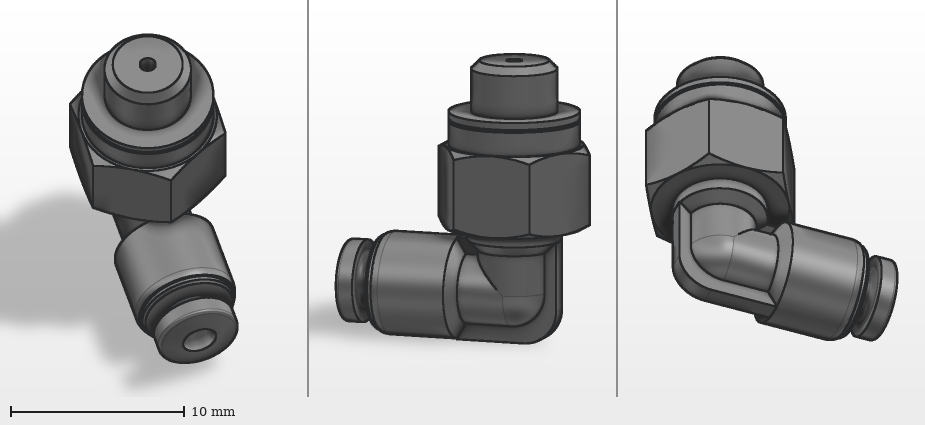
import cadquery as cq
import math


elbow_radius = 2.11
web_thickness = 1.05
web_corner_radius = 2.0

barrel_radius = 6.0 / 2
arm_end_x = 2.77
barrel_start_x = 3.32
barrel_round_x = 7.35
rim_start_x = 7.79
rim_chamfer_x = 8.04
rim_end_x = 8.2
rounded_edge_radius = 2.9
rim_radius = 5.55 / 2
rim_face_radius = 2.64

neck_radius = 3.0 / 2
neck_fillet = 0.35
button_radius = 4.8 / 2
button_back_x = 9.09
button_round_x = 9.93
button_shoulder_x = 10.15
button_shoulder_radius = 2.23
button_end_x = 10.3
socket_radius = 2.0 / 2

collar_radius = 5.5 / 2
collar_bottom_z = barrel_radius
collar_cone_bottom_z = collar_bottom_z - (collar_radius - elbow_radius)
hex_width = 8.0
hex_bottom_z = 3.75
hex_top_z = 8.55
hex_chamfer_angle = 30
washer_radius = 7.6 / 2
groove_z = 10.02
groove_depth = 0.08
washer_top_z = 10.51
thread_radius = 5.0 / 2
thread_chamfer = 0.48
thread_tip_radius = thread_radius - thread_chamfer
total_height = 16.5
stem_top_z = total_height - barrel_radius

bore_radius = 0.9 / 2


def cylinder_z(radius, bottom, top):
    return cq.Workplane("XY").workplane(offset=bottom).circle(radius).extrude(top - bottom)


def cylinder_x(radius, start, end):
    return cq.Workplane("YZ").workplane(offset=start).circle(radius).extrude(end - start)


def make_elbow(radius, top, end):
    """Two equal round legs that meet in a ball at the origin."""
    ball = cq.Workplane("XY").sphere(radius)
    return ball.union(cylinder_z(radius, 0, top)).union(cylinder_x(radius, 0, end))


def make_web():
    """Flat plate in the XZ plane with one rounded outer corner."""
    length = barrel_start_x + collar_radius
    height = collar_bottom_z + barrel_radius
    plate = cq.Workplane("XY").box(length, web_thickness, height)
    plate = plate.edges("|Y and <X and <Z").fillet(web_corner_radius)
    center_x = (barrel_start_x - collar_radius) / 2
    return plate.translate((center_x, 0, (collar_bottom_z - barrel_radius) / 2))


def make_arm():
    """Barrel, neck and release button, revolved about X."""
    fillet_diagonal = neck_fillet * (1 - math.sqrt(0.5))
    profile = (
        cq.Workplane("XZ")
        .moveTo(arm_end_x, 0)
        .lineTo(arm_end_x, elbow_radius)
        .lineTo(barrel_start_x, barrel_radius)
        .lineTo(barrel_round_x, barrel_radius)
        .tangentArcPoint((rim_start_x, rounded_edge_radius), relative=False)
        .lineTo(rim_start_x, rim_radius)
        .lineTo(rim_chamfer_x, rim_radius)
        .lineTo(rim_end_x, rim_face_radius)
        .lineTo(rim_end_x, neck_radius)
        .lineTo(button_back_x - neck_fillet, neck_radius)
        .threePointArc(
            (button_back_x - fillet_diagonal, neck_radius + fillet_diagonal),
            (button_back_x, neck_radius + neck_fillet),
        )
        .lineTo(button_back_x, button_radius)
        .lineTo(button_round_x, button_radius)
        .tangentArcPoint((button_shoulder_x, button_shoulder_radius), relative=False)
        .tangentArcPoint((button_end_x, socket_radius), relative=False)
        .lineTo(button_end_x, 0)
        .close()
    )
    return profile.revolve(360, (0, 0, 0), (1, 0, 0))


def make_hex():
    """Hexagon with corners on X, chamfered at both ends down to its inscribed circle."""
    half_width = hex_width / 2
    corner_radius = half_width / math.cos(math.radians(30))
    corner_drop = (corner_radius - half_width) * math.tan(math.radians(hex_chamfer_angle))
    prism = (
        cq.Workplane("XY")
        .workplane(offset=hex_bottom_z)
        .polygon(6, 2 * corner_radius)
        .extrude(hex_top_z - hex_bottom_z)
    )
    chamfer_envelope = (
        cq.Workplane("XZ")
        .moveTo(0, hex_bottom_z)
        .lineTo(half_width, hex_bottom_z)
        .lineTo(corner_radius, hex_bottom_z + corner_drop)
        .lineTo(corner_radius, hex_top_z - corner_drop)
        .lineTo(half_width, hex_top_z)
        .lineTo(0, hex_top_z)
        .close()
        .revolve(360, (0, 0, 0), (0, 1, 0))
    )
    return prism.intersect(chamfer_envelope)


def make_stem():
    """Conical collar, grooved washer seat and threaded end, revolved about Z."""
    outline = [
        (0, collar_cone_bottom_z),
        (elbow_radius, collar_cone_bottom_z),
        (collar_radius, collar_bottom_z),
        (collar_radius, hex_top_z),
        (washer_radius, hex_top_z),
        (washer_radius, groove_z - groove_depth),
        (washer_radius - groove_depth, groove_z),
        (washer_radius, groove_z + groove_depth),
        (washer_radius, washer_top_z),
        (thread_radius, washer_top_z),
        (thread_radius, stem_top_z - thread_chamfer),
        (thread_tip_radius, stem_top_z),
        (0, stem_top_z),
    ]
    return cq.Workplane("XZ").polyline(outline).close().revolve(360, (0, 0, 0), (0, 1, 0))


body = make_elbow(elbow_radius, collar_cone_bottom_z, arm_end_x)
for section in (make_web(), make_arm(), make_stem(), make_hex()):
    body = body.union(section)

passage = make_elbow(bore_radius, stem_top_z, button_end_x)
tube_socket = cylinder_x(socket_radius, barrel_start_x, button_end_x)
result = body.cut(passage).cut(tube_socket)